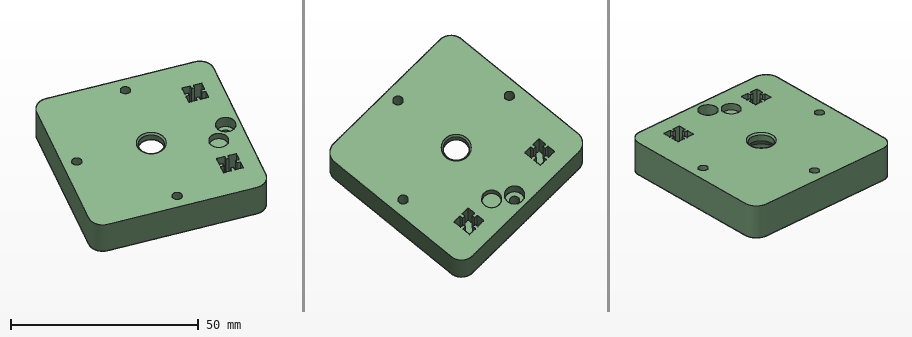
import cadquery as cq

side = 50.0
thickness = 10.0
corner_radius = 4.0

screw_offset = 21.0
screw_diameter = 2.7
counterbore_diameter = 5.4
counterbore_depth = 3.4

opening_diameter = 7.0
opening_chamfer = 0.5
recess_diameter = 25.0
recess_depth = 5.1
flare_top = 7.7
flare_diameter = 12.2

pocket_row_y = 17.3
round_pocket_x = 5.0
round_pocket_diameter = 5.3
round_pocket_depth = 2.0
square_pocket_x = 14.0
square_pocket_side = 5.6
square_pocket_depth = 7.0
rib_width = 0.9
rib_length = 1.0


def cylinder_down(x, y, top, diameter, depth):
    """Vertical cylinder hanging down from height top."""
    return cq.Workplane("XY", origin=(x, y, top)).circle(diameter / 2).extrude(-depth)


def cone_down(top, top_diameter, bottom_diameter, depth):
    """Cone frustum on the plate axis, hanging down from height top."""
    rim = cq.Workplane("XY", origin=(0, 0, top)).circle(top_diameter / 2)
    return rim.workplane(offset=-depth).circle(bottom_diameter / 2).loft(ruled=True)


def box_down(x, y, size_x, size_y):
    """Box hanging down from the top face to the square pocket floor."""
    plane = cq.Workplane("XY", origin=(x, y, thickness))
    return plane.rect(size_x, size_y).extrude(-square_pocket_depth)


def ribbed_pocket(x, y):
    """Square pocket volume with a rib standing in from the middle of each wall."""
    pocket = box_down(x, y, square_pocket_side, square_pocket_side)
    rib_center = (square_pocket_side - rib_length) / 2
    for offset in (-rib_center, rib_center):
        pocket = pocket.cut(box_down(x + offset, y, rib_length, rib_width))
        pocket = pocket.cut(box_down(x, y + offset, rib_width, rib_length))
    return pocket


result = cq.Workplane("XY").rect(side, side).extrude(thickness).edges("|Z").fillet(corner_radius)

for x, y in [(screw_offset, 0), (-screw_offset, 0), (0, screw_offset), (0, -screw_offset)]:
    result = result.cut(cylinder_down(x, y, thickness, screw_diameter, thickness))
result = result.cut(cylinder_down(0, screw_offset, thickness, counterbore_diameter, counterbore_depth))

result = result.cut(cylinder_down(0, 0, thickness, opening_diameter, thickness))
rim_diameter = opening_diameter + 2 * opening_chamfer
result = result.cut(cone_down(thickness, rim_diameter, opening_diameter, opening_chamfer))
flare_height = flare_top - recess_depth
result = result.cut(cone_down(flare_top, opening_diameter, flare_diameter, flare_height))
result = result.cut(cylinder_down(0, 0, recess_depth, recess_diameter, recess_depth))

result = result.cut(
    cylinder_down(round_pocket_x, pocket_row_y, thickness, round_pocket_diameter, round_pocket_depth)
)
for x in (-square_pocket_x, square_pocket_x):
    result = result.cut(ribbed_pocket(x, pocket_row_y))